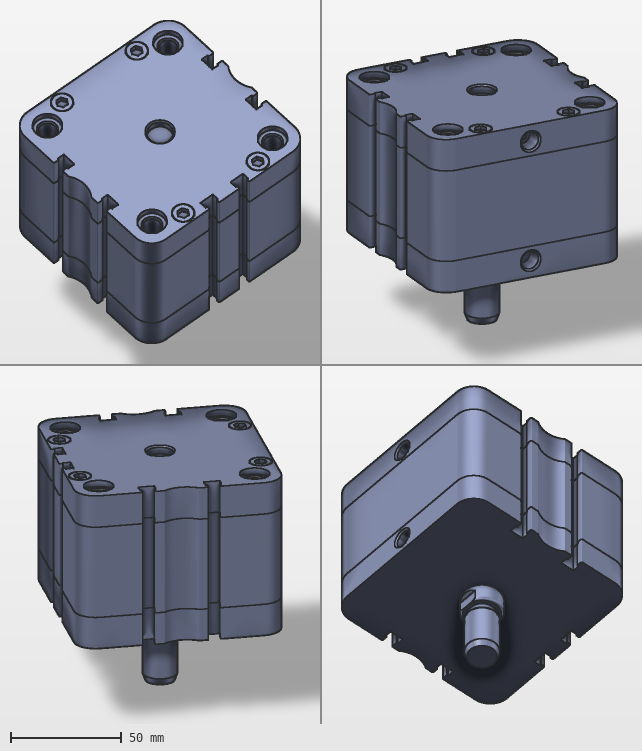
import cadquery as cq
import math


SIDE = 95.5
HALF_SIDE = SIDE / 2
CORNER_RADIUS = 10.0
BODY_HEIGHT = 74.3
COVER_HEIGHT = 15.2
BARREL_HEIGHT = BODY_HEIGHT - 2 * COVER_HEIGHT
UPPER_COVER_Z = BODY_HEIGHT - COVER_HEIGHT

SLOT_MOUTH_WIDTH = 5.8
BARREL_SLOT_INSIDE_WIDTH = 7.0
COVER_SLOT_INSIDE_WIDTH = 7.3
SLOT_OFFSET_Y_SIDES = 15.1
SLOT_LIP_Y_SIDES = 2.9
SLOT_DEPTH_Y_SIDES = 6.5
SLOT_OFFSET_X_SIDE = 9.0
SLOT_LIP_X_SIDE = 1.8
SLOT_DEPTH_X_SIDE = 5.3

GROOVE_WIDTH = 16.0
GROOVE_DEPTH = 2.5
GROOVE_RADIUS = ((GROOVE_WIDTH / 2) ** 2 + GROOVE_DEPTH**2) / (2 * GROOVE_DEPTH)

EDGE_ROUND = 0.3

MOUNT_OFFSET = 36.0
MOUNT_COUNTERBORE_DIAMETER = 13.5
MOUNT_COUNTERBORE_DEPTH = 3.0
MOUNT_MOUTH_DIAMETER = 9.8
MOUNT_HOLE_DIAMETER = 8.3

SCREW_OFFSET_X = 41.6
SCREW_OFFSET_Y = 22.3
SCREW_SEAT_DIAMETER = 10.3
SCREW_HEAD_DIAMETER = 9.8
SCREW_GAP_DEPTH = 5.0
HEX_ACROSS_FLATS = 5.0
HEX_DEPTH = 2.5

CENTRE_MOUTH_DIAMETER = 13.5
CENTRE_HOLE_DIAMETER = 12.0
CENTRE_DEPTH = 4.0

PORT_FROM_END = 8.2
PORT_MOUTH_DIAMETER = 10.3
PORT_DIAMETER = 8.5
PORT_DEPTH = 9.0
AIR_PASSAGE_DIAMETER = 5.0
AIR_PASSAGE_DEPTH = 15.0

ROD_RADIUS = 20.0 / 2
NECK_RADIUS = 13.5 / 2
THREAD_RADIUS = 16.0 / 2
TIP_RADIUS = 6.8
ROD_LENGTH = 111.0 - BODY_HEIGHT
COLLAR_LENGTH = 8.9
COLLAR_ROUND = 2.2
COLLAR_ROUND_INSET = 1.2
NECK_END = 11.7
NECK_CONE_LENGTH = 1.0
TIP_TAPER_LENGTH = 3.3
FLAT_ACROSS = 17.0
FLAT_START = 1.5


def centred_rectangle(x_size, y_size, x, y, height):
    return cq.Workplane("XY").center(x, y).rect(x_size, y_size).extrude(height)


def slot_in_y_side(x, side, inside_width, height):
    """Sensor slot at x in the +Y (side = 1) or -Y (side = -1) face."""
    inside_depth = SLOT_DEPTH_Y_SIDES - SLOT_LIP_Y_SIDES
    inside_y = HALF_SIDE - SLOT_LIP_Y_SIDES - inside_depth / 2
    mouth_y = HALF_SIDE - SLOT_LIP_Y_SIDES / 2
    inside = centred_rectangle(inside_width, inside_depth, x, side * inside_y, height)
    mouth = centred_rectangle(SLOT_MOUTH_WIDTH, SLOT_LIP_Y_SIDES, x, side * mouth_y, height)
    return inside.union(mouth)


def slot_in_x_side(y, inside_width, height):
    """Sensor slot at y in the +X face."""
    inside_depth = SLOT_DEPTH_X_SIDE - SLOT_LIP_X_SIDE
    inside_x = HALF_SIDE - SLOT_LIP_X_SIDE - inside_depth / 2
    mouth_x = HALF_SIDE - SLOT_LIP_X_SIDE / 2
    inside = centred_rectangle(inside_depth, inside_width, inside_x, y, height)
    mouth = centred_rectangle(SLOT_LIP_X_SIDE, SLOT_MOUTH_WIDTH, mouth_x, y, height)
    return inside.union(mouth)


def round_open_edges(block):
    """Round the upright edges that lie in the flat faces, where slots and grooves open out."""
    flat_limit = HALF_SIDE - CORNER_RADIUS - EDGE_ROUND
    outer_limit = HALF_SIDE + EDGE_ROUND
    inner_limit = HALF_SIDE - EDGE_ROUND
    edges = cq.selectors.BoxSelector((inner_limit, -flat_limit, 0), (outer_limit, flat_limit, BODY_HEIGHT))
    for near, far in ((inner_limit, outer_limit), (-outer_limit, -inner_limit)):
        edges = edges + cq.selectors.BoxSelector((-flat_limit, near, 0), (flat_limit, far, BODY_HEIGHT))
    return block.edges("|Z").edges(edges).fillet(EDGE_ROUND)


def profile_block(z, height, slot_inside_width):
    """Block with the rounded outline, slots and grooves that the covers and barrel share."""
    block = cq.Workplane("XY").rect(SIDE, SIDE).extrude(height).edges("|Z").fillet(CORNER_RADIUS)
    groove_y = HALF_SIDE - GROOVE_DEPTH + GROOVE_RADIUS
    for side in (1, -1):
        for x in (-SLOT_OFFSET_Y_SIDES, SLOT_OFFSET_Y_SIDES):
            block = block.cut(slot_in_y_side(x, side, slot_inside_width, height))
        block = block.cut(cq.Workplane("XY").center(0, side * groove_y).circle(GROOVE_RADIUS).extrude(height))
    for y in (-SLOT_OFFSET_X_SIDE, SLOT_OFFSET_X_SIDE):
        block = block.cut(slot_in_x_side(y, slot_inside_width, height))
    return round_open_edges(block).translate((0, 0, z))


def chamfered_hole(mouth_diameter, hole_diameter, depth):
    """Cutter for a blind hole going down from Z = 0 with a 45 degree chamfer at its mouth."""
    mouth_radius = mouth_diameter / 2
    hole_radius = hole_diameter / 2
    chamfer = mouth_radius - hole_radius
    points = [(0, 0), (mouth_radius, 0), (hole_radius, -chamfer), (hole_radius, -depth), (0, -depth)]
    return cq.Workplane("XZ").polyline(points).close().revolve(360, (0, 0, 0), (0, 1, 0))


def port_cutter(z):
    """Air port running in +X from the -X face."""
    port = chamfered_hole(PORT_MOUTH_DIAMETER, PORT_DIAMETER, PORT_DEPTH)
    return port.rotate((0, 0, 0), (0, 1, 0), -90).translate((-HALF_SIDE, 0, z))


def air_passage_cutter(z):
    """Narrow passage that carries on from the floor of a port."""
    passage = cq.Workplane("YZ", origin=(-HALF_SIDE, 0, z))
    return passage.circle(AIR_PASSAGE_DIAMETER / 2).extrude(AIR_PASSAGE_DEPTH)


def mounting_hole_cutter():
    """Counterbore and chamfered hole that together pass through the cover."""
    counterbore = cq.Workplane("XY").circle(MOUNT_COUNTERBORE_DIAMETER / 2).extrude(-MOUNT_COUNTERBORE_DEPTH)
    hole_depth = COVER_HEIGHT - MOUNT_COUNTERBORE_DEPTH
    hole = chamfered_hole(MOUNT_MOUTH_DIAMETER, MOUNT_HOLE_DIAMETER, hole_depth)
    return counterbore.union(hole.translate((0, 0, -MOUNT_COUNTERBORE_DEPTH)))


def screw_cutter():
    """Ring gap around a screw head and its hex socket, with two corners of the hex along Y."""
    ring = cq.Workplane("XY").circle(SCREW_SEAT_DIAMETER / 2).circle(SCREW_HEAD_DIAMETER / 2)
    ring = ring.extrude(-SCREW_GAP_DEPTH)
    hex_across_corners = HEX_ACROSS_FLATS / math.cos(math.radians(30))
    socket = cq.Workplane("XY").polygon(6, hex_across_corners).extrude(-HEX_DEPTH)
    return ring.union(socket.rotate((0, 0, 0), (0, 0, 1), 90))


def make_upper_cover():
    cover = profile_block(UPPER_COVER_Z, COVER_HEIGHT, COVER_SLOT_INSIDE_WIDTH)
    for x_sign in (1, -1):
        for y_sign in (1, -1):
            mount_place = (x_sign * MOUNT_OFFSET, y_sign * MOUNT_OFFSET, BODY_HEIGHT)
            screw_place = (x_sign * SCREW_OFFSET_X, y_sign * SCREW_OFFSET_Y, BODY_HEIGHT)
            cover = cover.cut(mounting_hole_cutter().translate(mount_place))
            cover = cover.cut(screw_cutter().translate(screw_place))
    centre_hole = chamfered_hole(CENTRE_MOUTH_DIAMETER, CENTRE_HOLE_DIAMETER, CENTRE_DEPTH)
    cover = cover.cut(centre_hole.translate((0, 0, BODY_HEIGHT)))
    port_z = BODY_HEIGHT - PORT_FROM_END
    return cover.cut(port_cutter(port_z)).cut(air_passage_cutter(port_z))


def make_barrel():
    return profile_block(COVER_HEIGHT, BARREL_HEIGHT, BARREL_SLOT_INSIDE_WIDTH)


def make_lower_cover():
    cover = profile_block(0, COVER_HEIGHT, COVER_SLOT_INSIDE_WIDTH)
    rod_hole = cq.Workplane("XY").circle(ROD_RADIUS).extrude(COVER_HEIGHT)
    return cover.cut(rod_hole).cut(port_cutter(PORT_FROM_END))


def wrench_flat_cutter(side):
    """Flat across the collar on the +X or -X side, with a 45 degree run-out at its upper end."""
    flat_x = FLAT_ACROSS / 2
    run_out = ROD_RADIUS - flat_x
    points = [
        (flat_x, -COLLAR_LENGTH),
        (flat_x, -FLAT_START - run_out),
        (ROD_RADIUS, -FLAT_START),
        (ROD_RADIUS, -COLLAR_LENGTH),
    ]
    mirrored_points = [(side * x, z) for x, z in points]
    return cq.Workplane("XZ").polyline(mirrored_points).close().extrude(ROD_RADIUS, both=True)


def make_rod():
    round_height = math.sqrt(COLLAR_ROUND**2 - (COLLAR_ROUND - COLLAR_ROUND_INSET) ** 2)
    rod = (
        cq.Workplane("XZ")
        .moveTo(0, COVER_HEIGHT)
        .lineTo(ROD_RADIUS, COVER_HEIGHT)
        .lineTo(ROD_RADIUS, -COLLAR_LENGTH + round_height)
        .radiusArc((ROD_RADIUS - COLLAR_ROUND_INSET, -COLLAR_LENGTH), COLLAR_ROUND)
        .lineTo(NECK_RADIUS, -COLLAR_LENGTH)
        .lineTo(NECK_RADIUS, -NECK_END)
        .lineTo(THREAD_RADIUS, -NECK_END - NECK_CONE_LENGTH)
        .lineTo(THREAD_RADIUS, -ROD_LENGTH + TIP_TAPER_LENGTH)
        .lineTo(TIP_RADIUS, -ROD_LENGTH)
        .lineTo(0, -ROD_LENGTH)
        .close()
        .revolve(360, (0, 0, 0), (0, 1, 0))
    )
    for side in (1, -1):
        rod = rod.cut(wrench_flat_cutter(side))
    return rod


upper_cover = make_upper_cover()
barrel = make_barrel()
lower_cover = make_lower_cover()
rod = make_rod()

result = cq.Compound.makeCompound([upper_cover.val(), barrel.val(), lower_cover.val(), rod.val()])